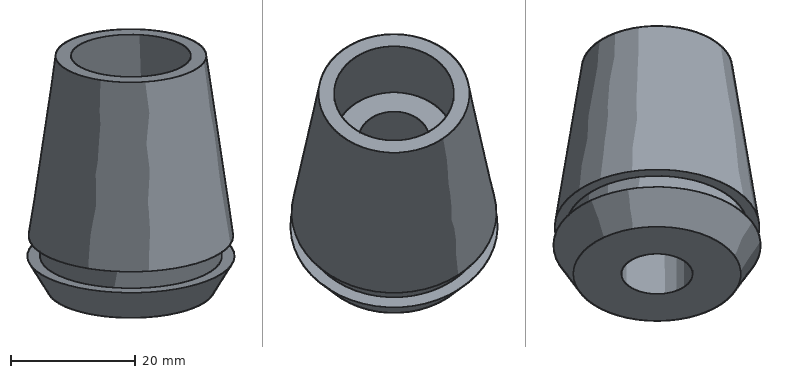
import cadquery as cq
import math

height = 40.0
flange_diameter = 33.35
body_half_angle = 8.0
nose_half_angle = 30.0

groove_bottom = 5.55
groove_top = 9.1
groove_diameter = 29.3

body_diameter = 32.95
bore_diameter = 11.45
counterbore_diameter = 19.3
counterbore_depth = 12.0

flange_radius = flange_diameter / 2
body_radius = body_diameter / 2
groove_radius = groove_diameter / 2
nose_radius = flange_radius - groove_bottom * math.tan(math.radians(nose_half_angle))
top_radius = body_radius - (height - groove_top) * math.tan(math.radians(body_half_angle))


def make_body():
    """Revolve the nose, groove and tapered body about Z."""
    return (
        cq.Workplane("XZ")
        .moveTo(0, 0)
        .lineTo(nose_radius, 0)
        .lineTo(flange_radius, groove_bottom)
        .lineTo(groove_radius, groove_bottom)
        .lineTo(groove_radius, groove_top)
        .lineTo(body_radius, groove_top)
        .lineTo(top_radius, height)
        .lineTo(0, height)
        .close()
        .revolve(360, (0, 0, 0), (0, 1, 0))
    )


def cut_stepped_bore(body):
    """Cut the through bore and the wider counterbore from the top face."""
    top_face = body.faces(">Z").workplane()
    return top_face.cboreHole(bore_diameter, counterbore_diameter, counterbore_depth)


result = cut_stepped_bore(make_body())